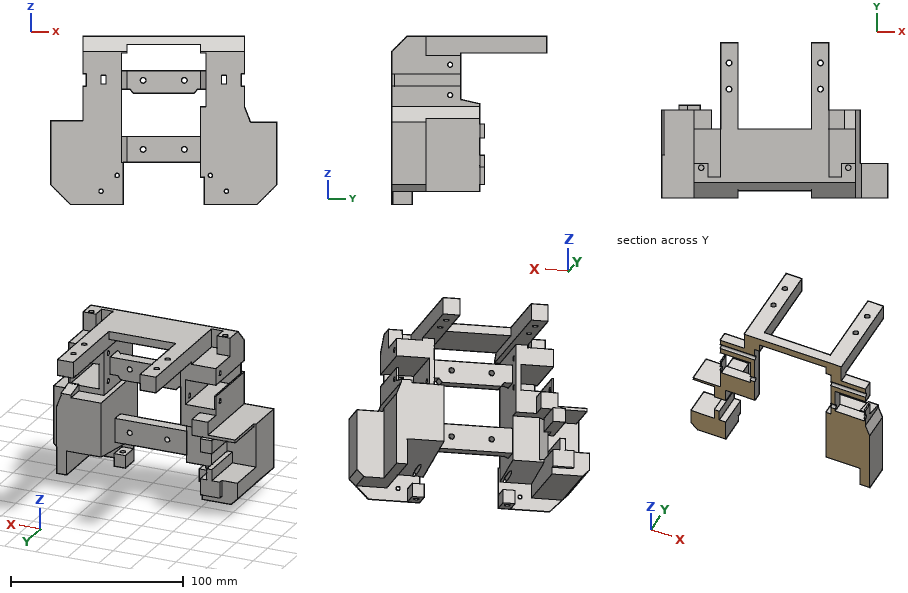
import cadquery as cq

HALF_WIDTH = 65.5
TOTAL_LENGTH = 90.0
TOTAL_HEIGHT = 97.6
LEFT, RIGHT = -1, 1
SIDES = (LEFT, RIGHT)
REACH = 262.0

DECK_THICKNESS = 5.0
DECK_REAR = 40.1
FRONT_BEVEL = 9.0
ARM_INNER = 21.2
ARM_WIDTH = 10.1
ARM_THICKNESS = 10.0
ARM_OUTER = ARM_INNER + ARM_WIDTH
ARM_HOLE_X = 26.5
ARM_HOLE_Y = (63.0, 78.2)
SCREW_DIAMETER = 3.1

COLUMN_INNER = 24.4
COLUMN_OUTER = 46.8
SHOULDER_DEPTH = 11.4
SHOULDER_FRONT = 12.0
EAR_INNER = 38.5
EAR_REAR = 20.0
EAR_HOLE = (42.6, 17.5)
CAVITY_TOP = 21.9
CAVITY_FLOOR = 37.3
CAVITY_FRONT = 1.8
INNER_WALL = 3.0
CAVITY_INNER = COLUMN_INNER + INNER_WALL
SIDE_WALL = 0.9
SIDE_GROOVE_DEPTH = 1.8
SIDE_GROOVE_BOTTOM = 29.0
WINDOW_X = (33.5, 36.3)
WINDOW_DEPTH = (22.8, 27.8)
CROSS_HOLE_DIAMETER = 2.8
CROSS_HOLE_Y = 33.9
CROSS_HOLE_DEPTHS = (16.6, 34.2)

BODY_REAR = 51.1
LEDGE_DEPTH = 40.9
SHELF_DEPTH = 49.0
BODY_BOTTOM = 90.1
CORNER_CHAMFER = 11.5
CORE_OUTER = 43.1
CORE_BOTTOM = 81.9
CORE_BOTTOM_REAR = 74.9
PLATE_THICKNESS = 0.9
PLATE_INNER = 23.5
FRONT_HOLE_DIAMETER = 2.4
FRONT_HOLES = ((27.0, 80.7), (36.3, 89.9))

LEFT_BLOCK_INNER = 36.5
LEFT_CORE_REAR = 32.0
POCKET_FRONT = 25.0
POCKET_TOP = 50.8
POCKET_FLOOR = 76.0
SHELF_SETBACK = 1.5
RAIL_OUTER = 50.5
UPPER_RAIL_BOTTOM = 59.1
LOWER_RAIL_TOP = 69.0
LOWER_RAIL_WIDTH = 3.3
RAIL_REAR = 53.8
HEEL_OUTER = 55.5
HEEL_BOTTOM = TOTAL_HEIGHT - CORNER_CHAMFER

RIGHT_CORE_INNER = 21.2
RIGHT_SHELF_DEPTH = 49.9
RIGHT_BLOCK_REAR = 20.0
TAPER_FOOT = 50.3
RIGHT_BODY_OUTER = 49.5
RAMP_INNER = 40.3
RAMP_TOP = 36.7
RAMP_BOTTOM = 39.2

BEAM_FRONT = 24.0
BEAM_THICKNESS = 7.5
GUSSET = COLUMN_INNER - ARM_INNER
UPPER_BEAM = (20.0, 30.9)
UPPER_BEAM_LIP = 33.3
LIP_HALF_TOP = 19.5
LIP_HALF_BOTTOM = 17.5
LOWER_BEAM = (58.2, 73.2)
PLATE_TOP = LOWER_BEAM[1]
BEAM_HOLE_X = 11.9
BEAM_HOLE_DEPTHS = (25.7, 65.6)
LUG_WIDTH = 7.2
LUG_HEIGHT = 8.0
LUG_REAR = 12.0
LUG_HOLE = (27.1, 7.5)


def box(xs, ys, depths):
    """Block between two X places, two Y places and two depths, each pair in any order."""
    size = [abs(b - a) for a, b in (xs, ys, depths)]
    corner = (min(xs), min(ys), -max(depths))
    return cq.Workplane("XY").box(*size, centered=False).translate(corner)


def side_box(side, xs, ys, depths):
    """Block on one side, with X given as the distance from the middle."""
    return box((side * xs[0], side * xs[1]), ys, depths)


def front_profile(points, front, rear):
    """Outline of (x, depth) points swept along Y."""
    outline = [(x, -depth) for x, depth in points]
    return cq.Workplane("XZ", origin=(0, front, 0)).polyline(outline).close().extrude(front - rear)


def side_profile(points, x_start, x_end):
    """Outline of (y, depth) points swept along X."""
    outline = [(y, -depth) for y, depth in points]
    return cq.Workplane("YZ", origin=(x_start, 0, 0)).polyline(outline).close().extrude(x_end - x_start)


def plan_profile(points, depths):
    """Outline of (x, y) points swept from one depth down to another."""
    top, bottom = depths
    return cq.Workplane("XY", origin=(0, 0, -bottom)).polyline(points).close().extrude(bottom - top)


def hole_z(x, y, diameter, depths):
    length = depths[1] - depths[0]
    return cq.Workplane("XY", origin=(x, y, -depths[1])).circle(diameter / 2).extrude(length)


def hole_y(x, depth, diameter):
    return cq.Workplane("XZ", origin=(x, REACH, -depth)).circle(diameter / 2).extrude(2 * REACH)


def hole_x(y, depth, diameter):
    return cq.Workplane("YZ", origin=(-REACH, y, -depth)).circle(diameter / 2).extrude(2 * REACH)


def deck_and_arms():
    part = box((-ARM_OUTER, ARM_OUTER), (0, DECK_REAR), (0, DECK_THICKNESS))
    for side in SIDES:
        part = part.union(side_box(side, (ARM_INNER, ARM_OUTER), (0, TOTAL_LENGTH), (0, ARM_THICKNESS)))
    return part


def column(side):
    """Hollow upper part of a leg, open at the rear, with a groove along its outer side."""
    part = side_box(side, (COLUMN_INNER, COLUMN_OUTER), (0, DECK_REAR), (0, LEDGE_DEPTH))
    part = part.cut(side_box(side, (ARM_OUTER, EAR_INNER), (SHOULDER_FRONT, DECK_REAR), (0, SHOULDER_DEPTH)))
    part = part.cut(side_box(side, (EAR_INNER, COLUMN_OUTER), (EAR_REAR, DECK_REAR), (0, SHOULDER_DEPTH)))
    part = part.cut(hole_z(side * EAR_HOLE[0], EAR_HOLE[1], SCREW_DIAMETER, (0, SHOULDER_DEPTH)))
    cavity_outer = COLUMN_OUTER - SIDE_WALL
    part = part.cut(
        side_box(side, (CAVITY_INNER, cavity_outer), (CAVITY_FRONT, DECK_REAR), (CAVITY_TOP, CAVITY_FLOOR))
    )
    groove_bottom = COLUMN_OUTER - SIDE_GROOVE_DEPTH
    part = part.cut(
        side_box(side, (groove_bottom, COLUMN_OUTER), (0, DECK_REAR), (CAVITY_TOP, SIDE_GROOVE_BOTTOM))
    )
    return part.cut(side_box(side, WINDOW_X, (0, CAVITY_FRONT), WINDOW_DEPTH))


def core(side, inner, rear, top):
    """Inner part of a lower leg; its underside rises towards the rear."""
    rise = (CORE_BOTTOM - CORE_BOTTOM_REAR) * rear / BODY_REAR
    outline = [(0, top), (rear, top), (rear, CORE_BOTTOM - rise), (0, CORE_BOTTOM)]
    return side_profile(outline, side * inner, side * CORE_OUTER)


def outer_block(side, top_edge, rear):
    """Outer part of a lower leg with its chamfered bottom corner, under a top edge of (x, depth) points."""
    chamfer_top = TOTAL_HEIGHT - CORNER_CHAMFER
    chamfer_end = HALF_WIDTH - (BODY_BOTTOM - chamfer_top)
    lower_edge = [(HALF_WIDTH, chamfer_top), (chamfer_end, BODY_BOTTOM), (CORE_OUTER, BODY_BOTTOM)]
    points = top_edge + lower_edge
    return front_profile([(side * x, depth) for x, depth in points], 0, rear)


def front_plate(side):
    """Thin front skin that reaches the bottom of the part, with the lug behind it."""
    chamfer_top = TOTAL_HEIGHT - CORNER_CHAMFER
    points = [
        (PLATE_INNER, PLATE_TOP),
        (HALF_WIDTH, PLATE_TOP),
        (HALF_WIDTH, chamfer_top),
        (HALF_WIDTH - CORNER_CHAMFER, TOTAL_HEIGHT),
        (PLATE_INNER, TOTAL_HEIGHT),
    ]
    plate = front_profile([(side * x, depth) for x, depth in points], 0, PLATE_THICKNESS)
    lug_depths = (TOTAL_HEIGHT - LUG_HEIGHT, TOTAL_HEIGHT)
    lug = side_box(side, (PLATE_INNER, PLATE_INNER + LUG_WIDTH), (0, LUG_REAR), lug_depths)
    lug = lug.cut(hole_z(side * LUG_HOLE[0], LUG_HOLE[1], SCREW_DIAMETER, lug_depths))
    return plate.union(lug)


def left_leg():
    rail_inner = RAIL_OUTER - LOWER_RAIL_WIDTH
    leg = outer_block(LEFT, [(CORE_OUTER, SHELF_DEPTH), (HALF_WIDTH, SHELF_DEPTH)], BODY_REAR)
    leg = leg.union(core(LEFT, COLUMN_INNER, LEFT_CORE_REAR, SHELF_DEPTH))
    leg = leg.union(box((-COLUMN_OUTER, -COLUMN_INNER), (0, DECK_REAR), (LEDGE_DEPTH, POCKET_TOP)))
    leg = leg.union(
        box((-COLUMN_OUTER, -LEFT_BLOCK_INNER), (DECK_REAR, BODY_REAR), (LEDGE_DEPTH, POCKET_TOP))
    )
    leg = leg.cut(box((-HALF_WIDTH, -RAIL_OUTER), (POCKET_FRONT, BODY_REAR), (POCKET_TOP, POCKET_FLOOR)))
    shelf_edge = SHELF_SETBACK - HALF_WIDTH
    leg = leg.cut(box((-HALF_WIDTH, shelf_edge), (POCKET_FRONT, BODY_REAR), (SHELF_DEPTH, POCKET_TOP)))
    slant = LEFT_CORE_REAR - POCKET_FRONT
    chamber = [
        (-rail_inner, POCKET_FRONT),
        (slant - rail_inner, LEFT_CORE_REAR),
        (-LEFT_BLOCK_INNER, LEFT_CORE_REAR),
        (-LEFT_BLOCK_INNER, BODY_REAR),
        (-rail_inner, BODY_REAR),
    ]
    leg = leg.cut(plan_profile(chamber, (POCKET_TOP, POCKET_FLOOR)))
    leg = leg.cut(
        box((-RAIL_OUTER, -rail_inner), (POCKET_FRONT, BODY_REAR), (UPPER_RAIL_BOTTOM, LOWER_RAIL_TOP))
    )
    rail_ys = (LEFT_CORE_REAR, RAIL_REAR)
    leg = leg.union(box((-RAIL_OUTER, -CORE_OUTER), rail_ys, (POCKET_TOP, UPPER_RAIL_BOTTOM)))
    leg = leg.union(box((-RAIL_OUTER, -rail_inner), rail_ys, (LOWER_RAIL_TOP, POCKET_FLOOR)))
    leg = leg.union(box((-HEEL_OUTER, -CORE_OUTER), rail_ys, (POCKET_FLOOR, HEEL_BOTTOM)))
    return leg.union(front_plate(LEFT))


def right_leg():
    tapered_edge = [
        (CORE_OUTER, LEDGE_DEPTH),
        (COLUMN_OUTER, LEDGE_DEPTH),
        (TAPER_FOOT, RIGHT_SHELF_DEPTH),
        (HALF_WIDTH, RIGHT_SHELF_DEPTH),
    ]
    leg = outer_block(RIGHT, tapered_edge, BODY_REAR)
    leg = leg.cut(box((RIGHT_BODY_OUTER, HALF_WIDTH), (RIGHT_BLOCK_REAR, BODY_REAR), (0, TOTAL_HEIGHT)))
    leg = leg.union(core(RIGHT, RIGHT_CORE_INNER, BODY_REAR, LEDGE_DEPTH))
    ramp = [
        (DECK_REAR, RAMP_TOP),
        (BODY_REAR, RAMP_BOTTOM),
        (BODY_REAR, LEDGE_DEPTH),
        (DECK_REAR, LEDGE_DEPTH),
    ]
    leg = leg.union(side_profile(ramp, RAMP_INNER, COLUMN_OUTER))
    return leg.union(front_plate(RIGHT))


def beam(depths):
    """Cross beam between the legs with a slanted gusset at each front corner."""
    rear = BEAM_FRONT + BEAM_THICKNESS
    gusset_front = BEAM_FRONT - GUSSET
    outline = [
        (-COLUMN_INNER, rear),
        (-COLUMN_INNER, gusset_front),
        (-ARM_INNER, BEAM_FRONT),
        (ARM_INNER, BEAM_FRONT),
        (COLUMN_INNER, gusset_front),
        (COLUMN_INNER, rear),
    ]
    return plan_profile(outline, depths)


def upper_beam_lip():
    outline = [
        (-LIP_HALF_TOP, UPPER_BEAM[1]),
        (LIP_HALF_TOP, UPPER_BEAM[1]),
        (LIP_HALF_BOTTOM, UPPER_BEAM_LIP),
        (-LIP_HALF_BOTTOM, UPPER_BEAM_LIP),
    ]
    return front_profile(outline, BEAM_FRONT, BEAM_FRONT + BEAM_THICKNESS)


def drill(part):
    for depth in CROSS_HOLE_DEPTHS:
        part = part.cut(hole_x(CROSS_HOLE_Y, depth, CROSS_HOLE_DIAMETER))
    for side in SIDES:
        for y in ARM_HOLE_Y:
            part = part.cut(hole_z(side * ARM_HOLE_X, y, SCREW_DIAMETER, (0, ARM_THICKNESS)))
        for depth in BEAM_HOLE_DEPTHS:
            part = part.cut(hole_y(side * BEAM_HOLE_X, depth, SCREW_DIAMETER))
        for x, depth in FRONT_HOLES:
            part = part.cut(hole_y(side * x, depth, FRONT_HOLE_DIAMETER))
    return part


body = deck_and_arms()
for side in SIDES:
    body = body.union(column(side))
body = body.union(left_leg()).union(right_leg())
body = body.union(beam(UPPER_BEAM)).union(upper_beam_lip()).union(beam(LOWER_BEAM))
bevel = side_profile([(0, 0), (FRONT_BEVEL, 0), (0, FRONT_BEVEL)], -HALF_WIDTH, HALF_WIDTH)
result = drill(body.cut(bevel))